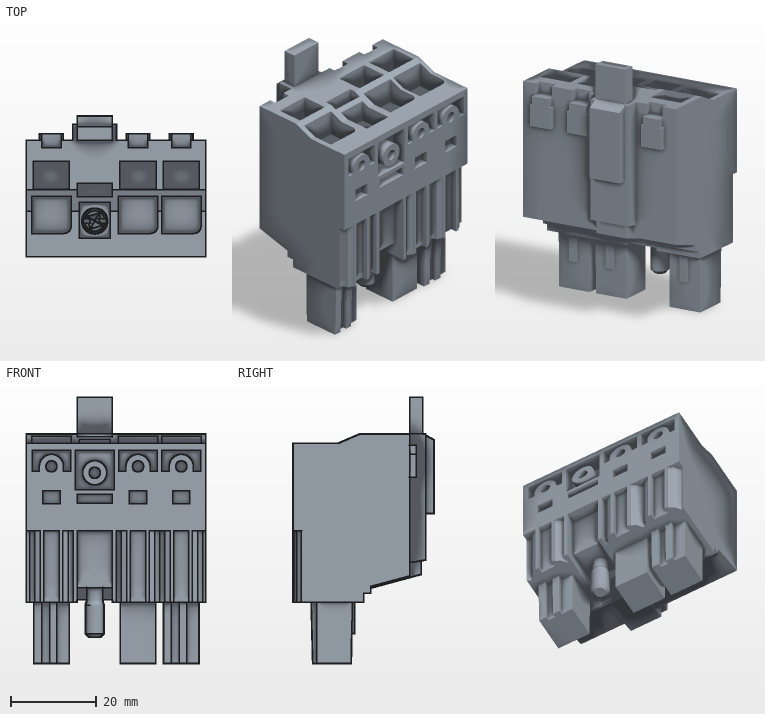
import cadquery as cq
import math


width = 42.12
pitch = 10.15
first_pole = 5.92
flange_x = first_pole + pitch
poles = [first_pole, first_pole + 2 * pitch, first_pole + 3 * pitch]
coded_poles = [poles[0], poles[2]]
plain_pole = poles[1]

back_y = 27.35
top_z = 39.55
front_top_z = 37.37
ramp_front_y = 10.68
ramp_back_y = 15.7
step_y = 16.6
step_z = 2.14
belly_y = 18.28
belly_z = 3.78
back_bottom_z = 6.2

guide_width = 10.3
guide_back_y = 31.13
guide_bottom_z = 9.92
guide_root_z = 9.37
keel_back_y = 30.08
keel_back_z = 6.55
keel_belly_z = 3.36

latch_width = 8.25
latch_top_z = 48.14
latch_plate_back_y = 30.46
latch_back_y = 33.07
latch_bottom_z = 20.84
latch_chamfer_z = 38.15

button_width = 4.5
button_flange_width = 5.6
button_front_y = 25.6
button_back_y = 28.87
button_bottom_z = 29.4
button_shoulder_z = 34.7
button_top_z = 36.8

entry_width = 9.25
entry_front_y = 5.47
entry_back_y = 14.25
entry_floor_z = 32.6
entry_corner_radius = 1.75
release_width = 8.45
release_front_y = 15.85
release_back_y = 22.4
release_floor_z = 27.5
flange_slot_front_y = 14.05
flange_slot_back_y = 17.2
flange_slot_floor_z = 31.5
screw_well_width = 7.35
screw_well_front_y = 4.4
screw_well_back_y = 12.8
screw_well_floor_z = 32.95

window_width = 9.07
window_depth = 3.7
window_top_z = 35.67
test_window_bottom_z = 30.8
test_boss_z = 31.9
boss_radius = 2.83
boss_hole_radius = 1.3
flange_window_bottom_z = 26.4
flange_boss_z = 30.4
catch_width = 4.05
catch_bottom_z = 23.1
catch_top_z = 26.2
catch_depth = 2.0
slit_bottom_z = 23.2
slit_top_z = 25.4
slit_depth = 3.0

flute_top_z = 16.8
panel_half_width = 1.8
panel_depth = 1.5
rib_outer = 2.6
groove_shallow = 0.2
groove_knee = 3.9
groove_knee_depth = 0.84
groove_depth = 2.2
side_depth = 1.72

flange_recess_depth = 2.9
flange_plate_z = 3.5
flange_back_z = 0.63
flange_cavity_back_y = 11.3

finger_width = 8.4
finger_height = 14.32
finger_front_y = 4.24
finger_back_y = 13.9
finger_tip_front_y = 4.6
finger_tip_back_y = 13.7
plain_finger_front_y = 5.2
finger_groove_start = 1.88
finger_groove_end = 3.77
finger_ledge_start = 5.5
finger_groove_y = 5.6
finger_rib_back_y = 14.54
finger_rib_width = 2.0
finger_rib_height = 7.3

screw_y = 8.4
head_radius = 2.9
head_bore_radius = 3.05
head_bottom_z = 27.5
head_top_z = 30.0
head_chamfer = 0.5
neck_radius = 1.89
thread_radius = 2.22
neck_end_z = 0.42
thread_start_z = -0.63
thread_end_z = -7.34
tip_z = -8.2
tip_radius = 1.36
slot_width = 1.1
slot_depth = 0.3
socket_side = 3.0
socket_depth = 1.0
socket_tip_side = 0.2
socket_angle = 15


def box(x_range, y_range, z_range):
    """Axis-aligned box between pairs of limits."""
    (x0, x1), (y0, y1), (z0, z1) = x_range, y_range, z_range
    return cq.Workplane("XY").box(x1 - x0, y1 - y0, z1 - z0, centered=False).translate((x0, y0, z0))


def span(center, size):
    """Limits of a stretch centred on a point."""
    return center - size / 2, center + size / 2


def side_prism(points, center, size):
    """Side outline of (y, z) points, extruded along X and centred on a given x."""
    x_start = span(center, size)[0]
    return cq.Workplane("YZ").polyline(points).close().extrude(size).translate((x_start, 0, 0))


def front_cylinder(x, z, radius, depth):
    """Cylinder running back from the front face."""
    return cq.Workplane("XZ").center(x, z).circle(radius).extrude(-depth)



def housing_block():
    outline = [
        (0, 0), (0, front_top_z), (ramp_front_y, front_top_z), (ramp_back_y, top_z),
        (back_y, top_z), (back_y, back_bottom_z), (belly_y, belly_z),
        (belly_y, step_z), (step_y, step_z), (step_y, 0),
    ]
    return side_prism(outline, width / 2, width)


def latch_guide():
    guide = side_prism(
        [(ramp_back_y, top_z), (guide_back_y, top_z), (guide_back_y, guide_bottom_z),
         (back_y, guide_root_z), (ramp_back_y, guide_root_z)],
        flange_x, guide_width)
    keel = side_prism(
        [(belly_y, guide_root_z), (back_y, guide_root_z), (keel_back_y, guide_bottom_z),
         (keel_back_y, keel_back_z), (belly_y, keel_belly_z)],
        flange_x, latch_width)
    return guide.union(keel)


def finger(x, front_y, tip_front_y):
    """Tapered plug finger with a short rib on its back."""
    body = side_prism(
        [(front_y, 0), (finger_back_y, 0), (finger_tip_back_y, -finger_height), (tip_front_y, -finger_height)],
        x, finger_width)
    middle_y = (finger_front_y + finger_back_y) / 2
    rib = box(span(x, finger_rib_width), (middle_y, finger_rib_back_y), (-finger_rib_height, 0))
    return body.union(rib)


def coded_finger(x):
    """Finger with a groove and a ledge along its front."""
    left, right = span(x, finger_width)
    depth = (0, finger_groove_y)
    height = (-finger_height, 0)
    groove = box((left + finger_groove_start, left + finger_groove_end), depth, height)
    ledge = box((left + finger_ledge_start, right), depth, height)
    return finger(x, finger_front_y, finger_tip_front_y).cut(groove).cut(ledge)



def top_pockets(x):
    """Wire entry with one rounded corner, and the release opening behind it."""
    entry = box(span(x, entry_width), (entry_front_y, entry_back_y), (entry_floor_z, top_z))
    entry = entry.edges("|Z and >X and <Y").fillet(entry_corner_radius)
    release = box(span(x, release_width), (release_front_y, release_back_y), (release_floor_z, top_z))
    return entry.union(release)


def front_windows(x):
    """Test window around an arched boss with a test hole, and the catch window below it."""
    window = box(span(x, window_width), (0, window_depth), (test_window_bottom_z, window_top_z))
    arch = front_cylinder(x, test_boss_z, boss_radius, window_depth)
    foot = box(span(x, 2 * boss_radius), (0, window_depth), (test_window_bottom_z, test_boss_z))
    hole = front_cylinder(x, test_boss_z, boss_hole_radius, window_depth)
    catch = box(span(x, catch_width), (0, catch_depth), (catch_bottom_z, catch_top_z))
    return window.cut(arch).cut(foot).union(hole).union(catch)


def curved_groove(x):
    """Groove on the left of a pole: a slope behind the rib, then a concave curve."""
    edge_x = x - pitch / 2
    knee_x = x - groove_knee
    diagonal = math.sqrt(0.5)
    curve_middle = (
        edge_x + (knee_x - edge_x) * diagonal,
        groove_knee_depth + (groove_depth - groove_knee_depth) * diagonal,
    )
    return (
        cq.Workplane("XY")
        .moveTo(x - rib_outer, 0)
        .lineTo(x - rib_outer, groove_shallow)
        .lineTo(knee_x, groove_knee_depth)
        .threePointArc(curve_middle, (edge_x, groove_depth))
        .lineTo(edge_x, 0)
        .close()
        .extrude(flute_top_z)
    )


def straight_groove(x):
    """Groove on the right of a pole, with two slopes."""
    edge_x = x + pitch / 2
    outline = [
        (x + rib_outer, 0), (x + rib_outer, groove_shallow), (x + groove_knee, groove_knee_depth),
        (edge_x, groove_depth), (edge_x, 0),
    ]
    return cq.Workplane("XY").polyline(outline).close().extrude(flute_top_z)


def flute_panel(x):
    """Flat recess between the two narrow ribs of a pole."""
    return box(span(x, 2 * panel_half_width), (0, panel_depth), (0, flute_top_z))


def left_end_relief():
    """Sloping relief between the first curved groove and the left side of the housing."""
    inner_x = poles[0] - pitch / 2
    outline = [(0, 0), (inner_x, 0), (inner_x, groove_depth), (0, side_depth)]
    return cq.Workplane("XY").polyline(outline).close().extrude(flute_top_z)


def right_end_relief():
    """The next curved groove, of which only the start lies within the housing."""
    return curved_groove(poles[-1] + pitch)


def flange_cuts():
    """Openings of the screw flange: front window, slit, top slot, screw well and lower recess."""
    window = box(span(flange_x, window_width), (0, window_depth), (flange_window_bottom_z, window_top_z))
    window = window.cut(front_cylinder(flange_x, flange_boss_z, boss_radius, window_depth))
    hole = front_cylinder(flange_x, flange_boss_z, boss_hole_radius, window_depth)
    across = span(flange_x, latch_width)
    slit = box(across, (0, slit_depth), (slit_bottom_z, slit_top_z))
    slot = box(across, (flange_slot_front_y, flange_slot_back_y), (flange_slot_floor_z, top_z))
    well = box(span(flange_x, screw_well_width), (screw_well_front_y, screw_well_back_y),
               (screw_well_floor_z, top_z))
    front_recess = box(across, (0, flange_recess_depth), (0, flute_top_z))
    cavity = box(across, (0, flange_cavity_back_y), (0, flange_plate_z))
    back_relief = box(across, (flange_cavity_back_y, step_y), (0, flange_back_z))
    return [window, hole, slit, slot, well, front_recess, cavity, back_relief]


def screw_bore():
    bore = cq.Workplane("XY").center(flange_x, screw_y).circle(neck_radius).extrude(head_bottom_z)
    head_bore = (
        cq.Workplane("XY", origin=(flange_x, screw_y, head_bottom_z))
        .circle(head_bore_radius)
        .extrude(screw_well_floor_z - head_bottom_z)
    )
    return bore.union(head_bore)


def make_housing():
    body = housing_block().union(latch_guide())
    for x in coded_poles:
        body = body.union(coded_finger(x))
    body = body.union(finger(plain_pole, plain_finger_front_y, plain_finger_front_y))
    for x in poles:
        pole_cuts = [
            top_pockets(x), front_windows(x), button_channel(x),
            flute_panel(x), curved_groove(x), straight_groove(x),
        ]
        for cut in pole_cuts:
            body = body.cut(cut)
    shared_cuts = [left_end_relief(), right_end_relief(), *flange_cuts(), screw_bore(), latch_channel()]
    for cut in shared_cuts:
        body = body.cut(cut)
    return body



def make_latch():
    """Upright plate with a chamfered grip on its back."""
    plate = box(span(flange_x, latch_width), (back_y, latch_plate_back_y), (latch_bottom_z, latch_top_z))
    grip = side_prism(
        [(latch_plate_back_y, latch_bottom_z), (latch_plate_back_y, top_z),
         (latch_back_y, latch_chamfer_z), (latch_back_y, latch_bottom_z)],
        flange_x, latch_width)
    return plate.union(grip)


def latch_channel():
    return box(span(flange_x, latch_width), (back_y, guide_back_y), (latch_bottom_z, top_z))



def make_button(x):
    """Slider with a wider flange behind the housing."""
    slider = box(span(x, button_width), (button_front_y, button_back_y), (button_bottom_z, button_top_z))
    flange = box(span(x, button_flange_width), (back_y, button_back_y), (button_bottom_z, button_shoulder_z))
    return slider.union(flange)


def button_channel(x):
    return box(span(x, button_width), (button_front_y, back_y), (button_bottom_z, top_z))



def make_screw():
    """Captive screw with a necked shank, a slotted head and a tapered square socket."""
    half_outline = [
        (0, tip_z), (tip_radius, tip_z), (thread_radius, thread_end_z), (thread_radius, thread_start_z),
        (neck_radius, neck_end_z), (neck_radius, head_bottom_z), (head_radius, head_bottom_z),
        (head_radius, head_top_z - head_chamfer), (head_radius - head_chamfer, head_top_z), (0, head_top_z),
    ]
    screw = cq.Workplane("XZ").polyline(half_outline).close().revolve(360, (0, 0), (0, 1))
    slot = box(span(0, 2 * head_radius), span(0, slot_width), (head_top_z - slot_depth, head_top_z))
    socket = (
        cq.Workplane("XY", origin=(0, 0, head_top_z))
        .transformed(rotate=(0, 0, socket_angle))
        .rect(socket_side, socket_side)
        .workplane(offset=-socket_depth)
        .rect(socket_tip_side, socket_tip_side)
        .loft()
    )
    return screw.cut(slot).cut(socket).translate((flange_x, screw_y, 0))


housing = make_housing().solids()
latch = make_latch().solids()
screw = make_screw().solids()
buttons = [make_button(x).solids() for x in poles]

result = cq.Compound.makeCompound(
    [housing.val(), latch.val(), screw.val(), *[button.val() for button in buttons]]
)